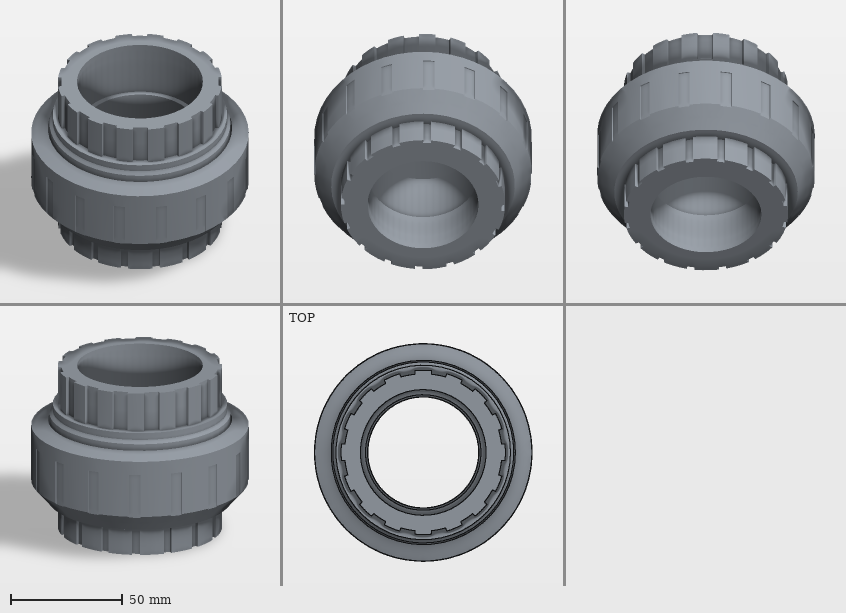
import cadquery as cq


total_height = 77.4
rib_count = 16
pitch_angle = 360 / rib_count

barrel_diameter = 74.0
tail_bore_diameter = 50.0
spline_depth = 1.6
tail_groove_width = 3.5

nut_diameter = 98.0
nut_bottom_diameter = 82.7
nut_bore_diameter = 83.0
nut_bottom_z = 13.7
nut_lower_edge_z = 22.6
nut_upper_edge_z = 49.1
nut_top_z = 51.6
slot_width = 5.1
slot_depth = 0.5
slot_top_z = 42.7

body_diameter = 81.5
collar_diameter = 78.6
body_bore_diameter = 52.0
socket_diameter = 56.6
socket_depth = 25.9
body_edge_z = 54.5
collar_bottom_z = 56.1
collar_top_z = 59.3
tooth_width = 7.4

seat_z = nut_lower_edge_z


def cylinder(diameter, bottom_z, top_z):
    return cq.Workplane("XY").workplane(offset=bottom_z).circle(diameter / 2).extrude(top_z - bottom_z)


def revolved(profile):
    """Revolve (radius, z) points around the Z axis."""
    return cq.Workplane("XZ").polyline(profile).close().revolve(360, (0, 0, 0), (0, 1, 0))


def radial_bars(root_radius, outer_radius, width, bottom_z, top_z):
    """Ring of parallel-sided radial bars around a round root, the first one on the +X axis."""
    bar = cq.Workplane("XY").box(outer_radius, width, top_z - bottom_z, centered=(False, True, False))
    bar = bar.translate((0, 0, bottom_z))
    bars = cq.Workplane("XY")
    for index in range(rib_count):
        bars = bars.add(bar.rotate((0, 0, 0), (0, 0, 1), index * pitch_angle))
    return bars.combine().cut(cylinder(2 * root_radius, bottom_z, top_z))


def make_tail():
    """Plain tube whose exposed lower end carries narrow grooves."""
    barrel_radius = barrel_diameter / 2
    tail = cylinder(barrel_diameter, 0, seat_z)
    grooves = radial_bars(barrel_radius - spline_depth, barrel_radius + spline_depth,
                          tail_groove_width, 0, nut_bottom_z)
    return tail.cut(grooves).cut(cylinder(tail_bore_diameter, 0, seat_z))


def make_nut():
    """Double-coned ring with a lip around the tail and grip slots open at the lower cone."""
    nut_radius = nut_diameter / 2
    bore_radius = nut_bore_diameter / 2
    lip_radius = barrel_diameter / 2
    nut = revolved([
        (lip_radius, nut_bottom_z),
        (nut_bottom_diameter / 2, nut_bottom_z),
        (nut_radius, nut_lower_edge_z),
        (nut_radius, nut_upper_edge_z),
        (bore_radius, nut_top_z),
        (bore_radius, seat_z),
        (lip_radius, seat_z),
    ])
    slots = radial_bars(nut_radius - slot_depth, nut_radius + slot_depth,
                        slot_width, nut_bottom_z, slot_top_z)
    return nut.cut(slots)


def make_toothed_barrel():
    """Solid barrel above the collar with wide teeth around its root circle."""
    root_diameter = barrel_diameter - 2 * spline_depth
    blank = cylinder(barrel_diameter, collar_top_z, total_height)
    root = cylinder(root_diameter, collar_top_z, total_height)
    teeth = radial_bars(root_diameter / 2, barrel_diameter, tooth_width, collar_top_z, total_height)
    return root.union(teeth.intersect(blank))


def make_body():
    """Stepped body with a toothed upper barrel and a pipe socket above a narrower bore."""
    body_radius = body_diameter / 2
    collar_radius = collar_diameter / 2
    bore_radius = body_bore_diameter / 2
    body = revolved([
        (bore_radius, seat_z),
        (body_radius, seat_z),
        (body_radius, body_edge_z),
        (collar_radius, collar_bottom_z),
        (collar_radius, collar_top_z),
        (bore_radius, collar_top_z),
    ])
    barrel = make_toothed_barrel()
    socket = cylinder(socket_diameter, total_height - socket_depth, total_height)
    return body.union(barrel).cut(socket).cut(cylinder(body_bore_diameter, seat_z, total_height))


tail = make_tail()
nut = make_nut()
body = make_body()

result = cq.Compound.makeCompound([part.solids().val() for part in (tail, nut, body)])